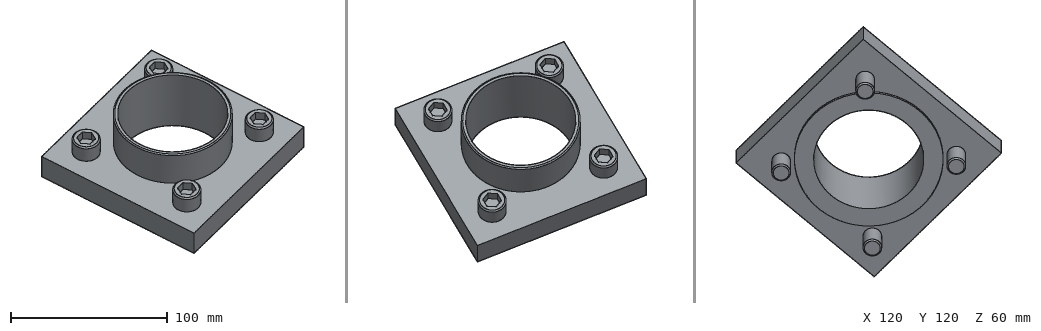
import cadquery as cq
import math

plate_side = 120
plate_thickness = 18

tube_diameter = 76.1
bore_diameter = 70.3
tube_height = 25.2
tube_chamfer_width = 1.0
tube_chamfer_height = 0.6

lip_diameter = 95.0
lip_height = 2.0

screw_offset = 39.6
shank_diameter = 12
shank_projection = 16.8
shank_chamfer = 1.0
head_diameter = 18
head_height = 12
head_chamfer = 1.0
socket_across_flats = 10.3
socket_depth = 6


def make_plate():
    return cq.Workplane("XY").rect(plate_side, plate_side).extrude(plate_thickness)


def make_tube():
    height = plate_thickness + tube_height
    tube = cq.Workplane("XY").circle(tube_diameter / 2).extrude(height)
    return tube.faces(">Z").edges().chamfer(tube_chamfer_height, tube_chamfer_width)


def make_lip():
    return cq.Workplane("XY").circle(lip_diameter / 2).extrude(-lip_height)


def make_bore():
    """Cylinder from the underside of the lip to the top of the tube."""
    bore = cq.Workplane("XY", origin=(0, 0, -lip_height)).circle(bore_diameter / 2)
    return bore.extrude(lip_height + plate_thickness + tube_height)


def make_screw():
    """Screw on the Z axis, with its head resting on the plate."""
    head_top = plate_thickness + head_height
    head = (
        cq.Workplane("XY", origin=(0, 0, plate_thickness))
        .circle(head_diameter / 2)
        .extrude(head_height)
        .faces(">Z").edges().chamfer(head_chamfer)
    )
    shank = (
        cq.Workplane("XY", origin=(0, 0, plate_thickness))
        .circle(shank_diameter / 2)
        .extrude(-(plate_thickness + shank_projection))
        .faces("<Z").edges().chamfer(shank_chamfer)
    )
    socket_across_corners = socket_across_flats / math.cos(math.pi / 6)
    socket = (
        cq.Workplane("XY")
        .polygon(6, socket_across_corners)
        .extrude(-socket_depth)
        .rotate((0, 0, 0), (0, 0, 1), 90)
        .translate((0, 0, head_top))
    )
    return head.union(shank).cut(socket)


body = make_plate().union(make_tube()).union(make_lip()).cut(make_bore())

screw = make_screw()
for x in (-screw_offset, screw_offset):
    for y in (-screw_offset, screw_offset):
        body = body.union(screw.translate((x, y, 0)))

result = body